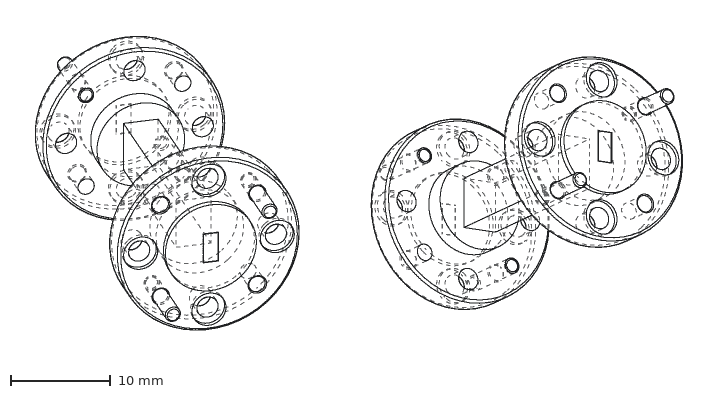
import cadquery as cq
import math

overall_length = 39.5
half_length = overall_length / 2

flange_diameter = 19.05
flange_thickness = 3.3
flange_outer_x = 15.15
flange_inner_x = flange_outer_x - flange_thickness
flange_chamfer = 0.28

hub_diameter = 9.15
hub_inner_x = 9.55
contact_face_diameter = 9.5
contact_face_x = 15.88

bar_width = 3.65
bar_height = 5.15
aperture_width = 1.55
aperture_height = 3.15
aperture_depth = 0.1

bolt_circle_radius = 7.15
screw_hole_angles = (0, 90, 180, 270)
screw_hole_diameter = 2.2
counterbore_diameter = 3.55
counterbore_depth = 0.5
dowel_hole_diameter = 1.7
hole_mouth_chamfer = 0.1

pin_diameter = 1.58
pin_chamfer = 0.15

rising_diagonal = (45, 225)
falling_diagonal = (135, 315)
pin_angles = {-1: falling_diagonal, 1: rising_diagonal}
dowel_hole_angles = {-1: rising_diagonal, 1: falling_diagonal}


def cylinder_along_x(diameter, x_start, x_end, y=0.0, z=0.0):
    """Cylinder with its axis parallel to X, between two X positions."""
    return (
        cq.Workplane("YZ", origin=(x_start, 0, 0))
        .center(y, z)
        .circle(diameter / 2)
        .extrude(x_end - x_start)
    )


def bolt_circle_point(angle):
    """Y and Z of a point on the bolt circle."""
    return (
        bolt_circle_radius * math.cos(math.radians(angle)),
        bolt_circle_radius * math.sin(math.radians(angle)),
    )


def make_screw_hole(end, angle):
    """Through hole with a counterbore in the flange outer face."""
    y, z = bolt_circle_point(angle)
    counterbore_floor_x = flange_outer_x - counterbore_depth
    hole = cylinder_along_x(screw_hole_diameter, end * flange_inner_x, end * flange_outer_x, y, z)
    counterbore = cylinder_along_x(
        counterbore_diameter, end * counterbore_floor_x, end * flange_outer_x, y, z
    )
    return hole.union(counterbore)


def make_chamfered_hole(diameter, end, angle):
    """Through hole with a chamfered mouth in the flange outer face."""
    y, z = bolt_circle_point(angle)
    mouth_start_x = flange_outer_x - hole_mouth_chamfer
    hole = cylinder_along_x(diameter, end * flange_inner_x, end * flange_outer_x, y, z)
    mouth = (
        cq.Workplane("YZ", origin=(end * mouth_start_x, 0, 0))
        .center(y, z)
        .circle(diameter / 2)
        .workplane(offset=end * hole_mouth_chamfer)
        .circle(diameter / 2 + hole_mouth_chamfer)
        .loft()
    )
    return hole.union(mouth)


def make_flange(end):
    """Flange with hub, contact face, aperture and holes at the +X (1) or -X (-1) end."""
    flange = cylinder_along_x(flange_diameter, end * flange_inner_x, end * flange_outer_x)
    flange = flange.faces("<X or >X").chamfer(flange_chamfer)
    hub = cylinder_along_x(hub_diameter, end * hub_inner_x, end * flange_inner_x)
    contact_face = cylinder_along_x(contact_face_diameter, end * flange_outer_x, end * contact_face_x)
    flange = flange.union(hub).union(contact_face)

    aperture = cq.Workplane("XY").box(aperture_depth, aperture_width, aperture_height)
    flange = flange.cut(aperture.translate((end * (contact_face_x - aperture_depth / 2), 0, 0)))

    for angle in screw_hole_angles:
        flange = flange.cut(make_screw_hole(end, angle))
    for angle in pin_angles[end]:
        flange = flange.cut(make_chamfered_hole(pin_diameter, end, angle))
    for angle in dowel_hole_angles[end]:
        flange = flange.cut(make_chamfered_hole(dowel_hole_diameter, end, angle))
    return flange


def make_waveguide():
    """Bar and both flanges as one solid."""
    waveguide = cq.Workplane("XY").box(2 * hub_inner_x, bar_width, bar_height)
    for end in (-1, 1):
        waveguide = waveguide.union(make_flange(end))
    return waveguide


def make_pin(end, angle):
    """Dowel pin chamfered at both ends."""
    y, z = bolt_circle_point(angle)
    pin = cylinder_along_x(pin_diameter, end * flange_inner_x, end * half_length, y, z)
    return pin.faces("<X or >X").chamfer(pin_chamfer)


waveguide = make_waveguide()

pins = []
for end in (-1, 1):
    for angle in pin_angles[end]:
        pins.append(make_pin(end, angle))

result = cq.Compound.makeCompound([waveguide.val(), *[pin.val() for pin in pins]])